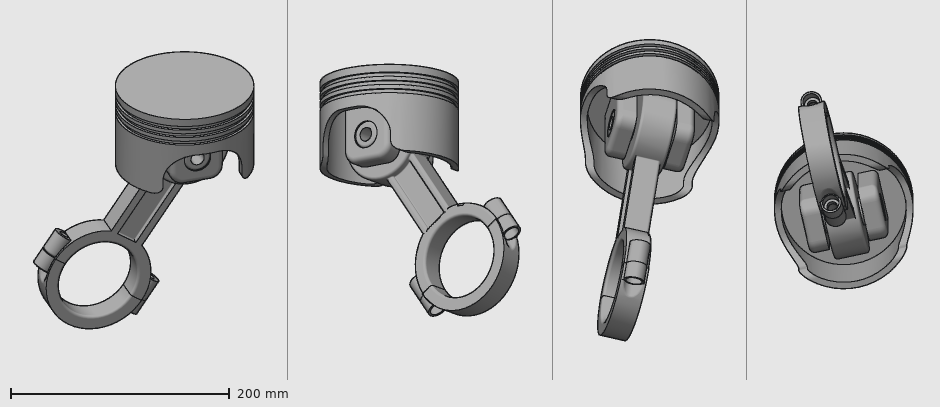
import cadquery as cq
import math

bore_diameter = 127.0
bore_radius = bore_diameter / 2
piston_height = 81.5
skirt_inner_diameter = 114.5
crown_thickness = 15.0
groove_floor_diameter = 121.9
groove_tops = (7.5, 15.0, 23.0)
groove_width = 4.0

cutout_width = 76.3
cutout_top = 38.0
cutout_top_radius = 28.4
cutout_foot_radius = 9.0

pin_depth = 57.2
pin_diameter = 25.3
pin_hole_diameter = 12.8
boss_width = 50.7
boss_bottom = 82.3
boss_corner_radius = 12.8
boss_inner_x = 18.8
boss_outer_x = 36.7
boss_edge_radius = 5.0
edge_radius = 2.5

rod_angle = 35.0
rod_length = 152.0
rod_thickness = 23.7
beam_width = 36.0
small_end_diameter = 76.3
small_end_thickness = 32.0
big_end_diameter = 101.5
big_end_bore = 76.3

pocket_wall = 7.2
pocket_width = beam_width - 2 * pocket_wall
pocket_depth = 3.7
pocket_floor_radius = 1.0
pocket_end = 47.5
pocket_start = 28.0

lug_offset = big_end_diameter / 2
lug_diameter = 19.0
rod_lug_length = 21.5
cap_lug_length = 15.5
rod_bolt_hole = 9.0
cap_bolt_hole = 9.5
bolt_head_diameter = 15.0
bolt_head_depth = 10.2
scallop_diameter = 17.5
scallop_edge_radius = 2.5


def x_cylinder(diameter, length, z=0.0):
    """Cylinder along X, centred on X = 0."""
    return cq.Workplane("YZ", origin=(-length / 2, 0, z)).circle(diameter / 2).extrude(length)


def skirt_cutout():
    """Bar along X whose section is the arch left open above the pin ends."""
    half = cutout_width / 2
    flat = half - cutout_top_radius
    arch_z = -cutout_top - cutout_top_radius
    foot_z = -piston_height + cutout_foot_radius
    foot_y = half + cutout_foot_radius
    below = -piston_height - 2.3
    diagonal = math.sqrt(0.5)
    arch_rise = cutout_top_radius * diagonal
    foot_drop = cutout_foot_radius * diagonal
    return (
        cq.Workplane("YZ")
        .moveTo(-foot_y, below)
        .lineTo(-foot_y, -piston_height)
        .threePointArc((-foot_y + foot_drop, foot_z - foot_drop), (-half, foot_z))
        .lineTo(-half, arch_z)
        .threePointArc((-flat - arch_rise, arch_z + arch_rise), (-flat, -cutout_top))
        .lineTo(flat, -cutout_top)
        .threePointArc((flat + arch_rise, arch_z + arch_rise), (half, arch_z))
        .lineTo(half, foot_z)
        .threePointArc((foot_y - foot_drop, foot_z - foot_drop), (foot_y, -piston_height))
        .lineTo(foot_y, below)
        .close()
        .extrude(bore_diameter, both=True)
    )


def pin_boss(side):
    """Block hanging from the crown; its lower corners and outer edges are rounded."""
    height = boss_bottom - crown_thickness / 2
    boss = (
        cq.Workplane("XY", origin=(0, 0, -boss_bottom))
        .center((boss_inner_x + boss_outer_x) / 2, 0)
        .rect(boss_outer_x - boss_inner_x, boss_width)
        .extrude(height)
        .edges("|X and <Z").fillet(boss_corner_radius)
        .faces(">X").edges("not >Z").fillet(boss_edge_radius)
    )
    if side < 0:
        boss = boss.mirror("YZ")
    return boss


def make_piston():
    shell = cq.Workplane("XY").circle(bore_radius).extrude(-piston_height)
    hollow = (
        cq.Workplane("XY", origin=(0, 0, -crown_thickness))
        .circle(skirt_inner_diameter / 2)
        .extrude(-piston_height)
    )
    shell = shell.cut(hollow).cut(skirt_cutout())
    for top in groove_tops:
        groove = (
            cq.Workplane("XY", origin=(0, 0, -top))
            .circle(bore_radius + 2.3)
            .circle(groove_floor_diameter / 2)
            .extrude(-groove_width)
        )
        shell = shell.cut(groove)
    for side in (-1, 1):
        shell = shell.union(pin_boss(side))
    return shell.cut(x_cylinder(pin_diameter, bore_diameter, -pin_depth))


def make_pin():
    """Hollow piston pin, flush with the outer boss faces."""
    return (
        x_cylinder(pin_diameter, 2 * boss_outer_x, -pin_depth)
        .faces("<X or >X").edges().fillet(edge_radius)
        .cut(x_cylinder(pin_hole_diameter, bore_diameter, -pin_depth))
    )



def half_space(above):
    """Large block on one side of the split plane through the big-end axis."""
    size = 4 * rod_length
    return cq.Workplane("XY").rect(size, size).extrude(size if above else -size)


def lug_cylinder(side, diameter, start, end):
    """Cylinder on a bolt axis between two heights measured from the split plane."""
    return (
        cq.Workplane("XY", origin=(0, side * lug_offset, start))
        .circle(diameter / 2)
        .extrude(end - start)
    )


def web_pocket(side):
    """Cutter for the pocket in one face of the rod, with a rounded floor."""
    height = rod_length - pocket_start - pocket_end
    floor_x = rod_thickness / 2 - pocket_depth
    pocket = (
        cq.Workplane("YZ", origin=(floor_x, 0, pocket_end + height / 2))
        .rect(pocket_width, height)
        .extrude(rod_thickness)
        .faces("<X").edges().fillet(pocket_floor_radius)
    )
    if side < 0:
        pocket = pocket.mirror("YZ")
    return pocket


def nearest_edge(body, point):
    return body.edges(cq.selectors.NearestToPointSelector(point))


def bore_edge(body, side):
    """Edge of the big-end bore on one face of the rod."""
    face = ">X" if side > 0 else "<X"
    return body.faces(face).edges("%CIRCLE").edges(cq.selectors.RadiusNthSelector(0))


def add_lug(body, side, end, rounded_foot=False):
    """Add a bolt lug that runs from the split to the given height."""
    lug = lug_cylinder(side, lug_diameter, 0, end)
    if rounded_foot:
        lug = lug.faces("<Z").edges().fillet(edge_radius)
    return body.union(lug)


def make_rod():
    floor_x = rod_thickness / 2 - pocket_depth
    rod = (
        cq.Workplane("XY")
        .rect(rod_thickness, beam_width)
        .extrude(rod_length)
        .union(x_cylinder(big_end_diameter, rod_thickness))
        .cut(x_cylinder(big_end_bore, rod_thickness))
    )
    for side in (-1, 1):
        rod = rod.cut(web_pocket(side))
    rod = rod.faces("<X").edges().fillet(edge_radius)
    rod = bore_edge(rod, 1).fillet(edge_radius)

    small_end = (
        x_cylinder(small_end_diameter, small_end_thickness, rod_length)
        .faces("<X or >X").edges().fillet(edge_radius)
    )
    rod = rod.union(small_end)
    for side in (-1, 1):
        small_end_foot = (side * floor_x, 0, rod_length - small_end_diameter / 2)
        rod = nearest_edge(rod, small_end_foot).fillet(pocket_floor_radius)
    rod = rod.intersect(half_space(above=True))

    for side in (-1, 1):
        rod = add_lug(rod, side, rod_lug_length, rounded_foot=side < 0)
        rod = rod.cut(lug_cylinder(side, rod_bolt_hole, 0, rod_length / 2))
    return rod.cut(x_cylinder(pin_diameter, bore_diameter, rod_length))


def scalloped(ring):
    """Cut the wrench clearances along both bolt axes and round their edges on the ring."""
    for side in (-1, 1):
        ring = ring.cut(lug_cylinder(side, scallop_diameter, -rod_length, rod_length))
    return ring.edges("not (%CIRCLE or %LINE)").fillet(scallop_edge_radius)


def make_cap():
    ring = (
        x_cylinder(big_end_diameter, rod_thickness)
        .cut(x_cylinder(big_end_bore, rod_thickness))
    )
    for side in (-1, 1):
        ring = bore_edge(ring, side).fillet(edge_radius)

    below_lugs = half_space(above=False).translate((0, 0, -cap_lug_length))
    beside_lugs = half_space(above=False).cut(below_lugs)
    cap = ring.intersect(beside_lugs).union(scalloped(ring).intersect(below_lugs))

    bolt_head_seat = bolt_head_depth - cap_lug_length
    for side in (-1, 1):
        cap = add_lug(cap, side, -cap_lug_length)
        cap = cap.cut(lug_cylinder(side, cap_bolt_hole, 0, -cap_lug_length))
        cap = cap.cut(lug_cylinder(side, bolt_head_diameter, bolt_head_seat, -cap_lug_length))
    return cap


def lean(body):
    """Hang an upright rod part from the pin and swing its big end toward -Y."""
    pin_axis_end = (1, 0, -pin_depth)
    return (
        body.translate((0, 0, -pin_depth - rod_length))
        .rotate((0, 0, -pin_depth), pin_axis_end, -rod_angle)
    )


piston = make_piston()
pin = make_pin()
rod = lean(make_rod())
cap = lean(make_cap())

result = cq.Compound.makeCompound([piston.val(), pin.val(), rod.val(), cap.val()])